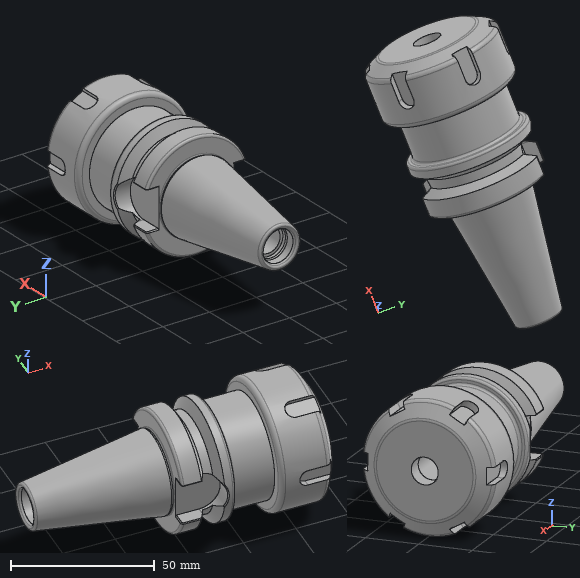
import cadquery as cq
import math

LENGTH = 108.8
EDGE_ROUND = 1.0
FLANK_ANGLE = 60
FLANK_SLOPE = math.tan(math.radians(FLANK_ANGLE))

TAPER_SLOPE = 7 / 24 / 2
TAPER_END = 48.9
TAPER_END_RADIUS = 31.9 / 2
TAPER_START_RADIUS = TAPER_END_RADIUS - TAPER_END * TAPER_SLOPE
RELIEF_START = 49.5
RELIEF_RADIUS = 31.4 / 2
RELIEF_ROUND = 0.3

FLANGE_START = 50.2
FLANGE_END = 70.1
FLANGE_RADIUS = 46.0 / 2
GROOVE_RADIUS = 37.9 / 2
GROOVE_START = 57.8
GROOVE_END = 66.0

DRIVE_SLOT_WIDTH = 16.1
DRIVE_SLOT_END = 67.2
DRIVE_SLOT_FLOOR = 16.1
DRIVE_SLOT_CHAMFER = 0.4

BORE_RADIUS = 10.1 / 2
MOUTH_RADIUS = 7.2
GUIDE_RADIUS = 13.1 / 2
GUIDE_START = 1.5
GUIDE_END = 4.9
STEP_RADIUS = 12.5 / 2
STEP_START = 5.7
STEP_END = 7.2

NECK_RADIUS = 39.9 / 2
NUT_START = 86.3
NUT_RADIUS = 50 / 2
NUT_FACE_RADIUS = 36.2 / 2
NUT_ROUND = 2.0
NUT_FRONT_WALL = 6.5
NECK_END = LENGTH - NUT_FRONT_WALL

WRENCH_SLOT_COUNT = 6
WRENCH_SLOT_WIDTH = 6.3
WRENCH_SLOT_START = 93.7
WRENCH_SLOT_FLOOR = 22.3

MARGIN = 0.1


def spin(points):
    """Revolve an outline of (x, radius) points around the X axis."""
    return cq.Workplane("XY").polyline(points).close().revolve(360, (0, 0, 0), (1, 0, 0))


def round_circle(body, x, radius, rounding):
    """Round the circular edge of the given radius around the X axis at x."""
    tolerance = 0.001
    edges = body.edges("%CIRCLE").filter(
        lambda edge: abs(edge.Center().x - x) < tolerance and abs(edge.radius() - radius) < tolerance
    )
    return edges.fillet(rounding)


def round_ended_slot(start, end, width, floor, top):
    """Slot cutter on the -Y side: round at the start, square at the end, between two heights."""
    half = width / 2
    arc_x = start + half if start < end else start - half
    return (
        cq.Workplane("XZ", origin=(0, -floor, 0))
        .moveTo(end, -half)
        .lineTo(arc_x, -half)
        .threePointArc((start, 0), (arc_x, half))
        .lineTo(end, half)
        .close()
        .extrude(top - floor)
    )


def holder_blank():
    blank = spin([
        (STEP_END, BORE_RADIUS),
        (STEP_END, STEP_RADIUS),
        (STEP_START, STEP_RADIUS),
        (GUIDE_END, GUIDE_RADIUS),
        (GUIDE_START, GUIDE_RADIUS),
        (0, MOUTH_RADIUS),
        (0, TAPER_START_RADIUS),
        (TAPER_END, TAPER_END_RADIUS),
        (RELIEF_START, RELIEF_RADIUS),
        (FLANGE_START, RELIEF_RADIUS),
        (FLANGE_START, FLANGE_RADIUS),
        (FLANGE_END, FLANGE_RADIUS),
        (FLANGE_END, NECK_RADIUS),
        (NECK_END, NECK_RADIUS),
        (NECK_END, BORE_RADIUS),
    ])
    for x, radius in [
        (0, MOUTH_RADIUS),
        (0, TAPER_START_RADIUS),
        (FLANGE_START, FLANGE_RADIUS),
        (FLANGE_END, FLANGE_RADIUS),
        (FLANGE_END, NECK_RADIUS),
    ]:
        blank = round_circle(blank, x, radius, EDGE_ROUND)
    return round_circle(blank, FLANGE_START, RELIEF_RADIUS, RELIEF_ROUND)


def cut_drive_slots(holder):
    cutter = round_ended_slot(
        DRIVE_SLOT_END, FLANGE_START, DRIVE_SLOT_WIDTH, DRIVE_SLOT_FLOOR, FLANGE_RADIUS
    )
    for angle in (0, 180):
        holder = holder.cut(cutter.rotate((0, 0, 0), (1, 0, 0), angle))

    def on_slot_rim(edge):
        box = edge.BoundingBox()
        in_flange = FLANGE_START - MARGIN < box.xmin and box.xmax < DRIVE_SLOT_END + MARGIN
        beside_axis = max(abs(box.zmin), abs(box.zmax)) < DRIVE_SLOT_WIDTH / 2 + MARGIN
        above_floor = max(abs(box.ymin), abs(box.ymax)) > DRIVE_SLOT_FLOOR + MARGIN
        return in_flange and beside_axis and above_floor

    return holder.edges().filter(on_slot_rim).chamfer(DRIVE_SLOT_CHAMFER)


def cut_grip_groove(holder):
    flank_run = (FLANGE_RADIUS - GROOVE_RADIUS) / FLANK_SLOPE
    ring = spin([
        (GROOVE_START, FLANGE_RADIUS),
        (GROOVE_START + flank_run, GROOVE_RADIUS),
        (GROOVE_END - flank_run, GROOVE_RADIUS),
        (GROOVE_END, FLANGE_RADIUS),
    ])
    return holder.cut(ring)


def make_holder():
    return cut_grip_groove(cut_drive_slots(holder_blank()))


def nut_blank():
    half_turn = math.radians(90 - FLANK_ANGLE) / 2
    corner_radius = NUT_FACE_RADIUS + NUT_ROUND * math.tan(half_turn)
    shoulder = LENGTH - (NUT_RADIUS - corner_radius) / FLANK_SLOPE
    blank = spin([
        (NUT_START, NECK_RADIUS),
        (NUT_START, NUT_RADIUS),
        (shoulder, NUT_RADIUS),
        (LENGTH, corner_radius),
        (LENGTH, BORE_RADIUS),
        (NECK_END, BORE_RADIUS),
        (NECK_END, NECK_RADIUS),
    ])
    for x, radius in [(NUT_START, NUT_RADIUS), (shoulder, NUT_RADIUS), (LENGTH, corner_radius)]:
        blank = round_circle(blank, x, radius, NUT_ROUND)
    return blank


def make_nut():
    nut = nut_blank()
    cutter = round_ended_slot(
        WRENCH_SLOT_START, LENGTH, WRENCH_SLOT_WIDTH, WRENCH_SLOT_FLOOR, NUT_RADIUS
    )
    for index in range(WRENCH_SLOT_COUNT):
        angle = index * 360 / WRENCH_SLOT_COUNT
        nut = nut.cut(cutter.rotate((0, 0, 0), (1, 0, 0), angle))
    return nut


holder = make_holder()
nut = make_nut()
result = cq.Compound.makeCompound([holder.val(), nut.val()])